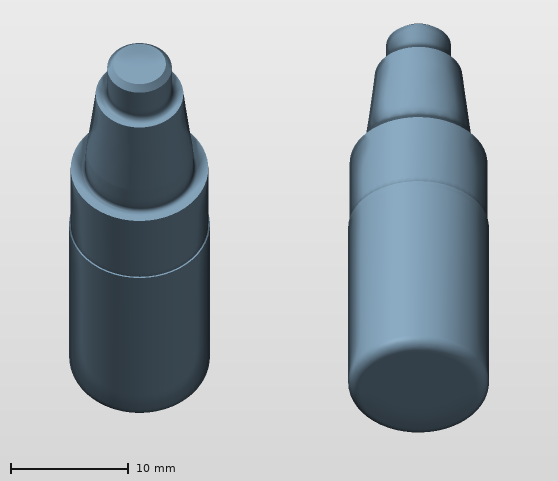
import cadquery as cq
import math

total_height = 39.7
body_height = 18.0
collar_top = 25.9
shoulder_height = 35.73

body_radius = 12.0 / 2
bottom_round = 1.0

flange_thickness = 0.5
collar_radius = 11.7 / 2
nose_base_radius = 4.65
nose_base_fillet = 0.28
nose_curve_height = 2.22
shoulder_radius = 3.75
tip_radius = 5.5 / 2
tip_edge = 0.5

flange_top = body_height + flange_thickness
curve_start = collar_top + nose_base_fillet
curve_end = curve_start + nose_curve_height


def cone_tangent_to_curve():
    """Find the curve radius and cone angle, so the arc starts vertical and meets the cone smoothly.

    With cone angle a, the arc radius is nose_curve_height / sin(a), so the arc moves inward by
    nose_curve_height * tan(a / 2) and the cone by cone_height * tan(a). Writing t = tan(a / 2),
    the total taper gives a cubic in t that a few fixed-point steps solve.
    """
    solver_steps = 20
    cone_height = shoulder_height - curve_end
    taper = nose_base_radius - shoulder_radius
    half_tangent = 0
    for _ in range(solver_steps):
        half_tangent = taper / (nose_curve_height + 2 * cone_height / (1 - half_tangent**2))
    angle = 2 * math.atan(half_tangent)
    return nose_curve_height / math.sin(angle), angle


def make_body():
    """Plain cylinder with a rounded bottom edge."""
    return cq.Workplane("XY").circle(body_radius).extrude(body_height).faces("<Z").edges().fillet(bottom_round)


def make_head():
    """Flange, collar, tapered nose and tip, revolved about Z."""
    curve_radius, cone_angle = cone_tangent_to_curve()
    curve_center = nose_base_radius - curve_radius
    curve_mid = (
        curve_center + curve_radius * math.cos(cone_angle / 2),
        curve_start + curve_radius * math.sin(cone_angle / 2),
    )
    curve_end_radius = curve_center + curve_radius * math.cos(cone_angle)
    return (
        cq.Workplane("XZ")
        .moveTo(0, body_height)
        .lineTo(body_radius, body_height)
        .lineTo(body_radius, flange_top)
        .lineTo(collar_radius, flange_top)
        .lineTo(collar_radius, collar_top)
        .lineTo(nose_base_radius + nose_base_fillet, collar_top)
        .radiusArc((nose_base_radius, curve_start), nose_base_fillet)
        .threePointArc(curve_mid, (curve_end_radius, curve_end))
        .lineTo(shoulder_radius, shoulder_height)
        .lineTo(tip_radius + tip_edge, shoulder_height)
        .radiusArc((tip_radius, shoulder_height + tip_edge), tip_edge)
        .lineTo(tip_radius, total_height - tip_edge)
        .lineTo(tip_radius - tip_edge, total_height)
        .lineTo(0, total_height)
        .close()
        .revolve(360, (0, 0, 0), (0, 1, 0))
    )


body = make_body()
head = make_head()

result = cq.Compound.makeCompound([body.val(), head.val()])